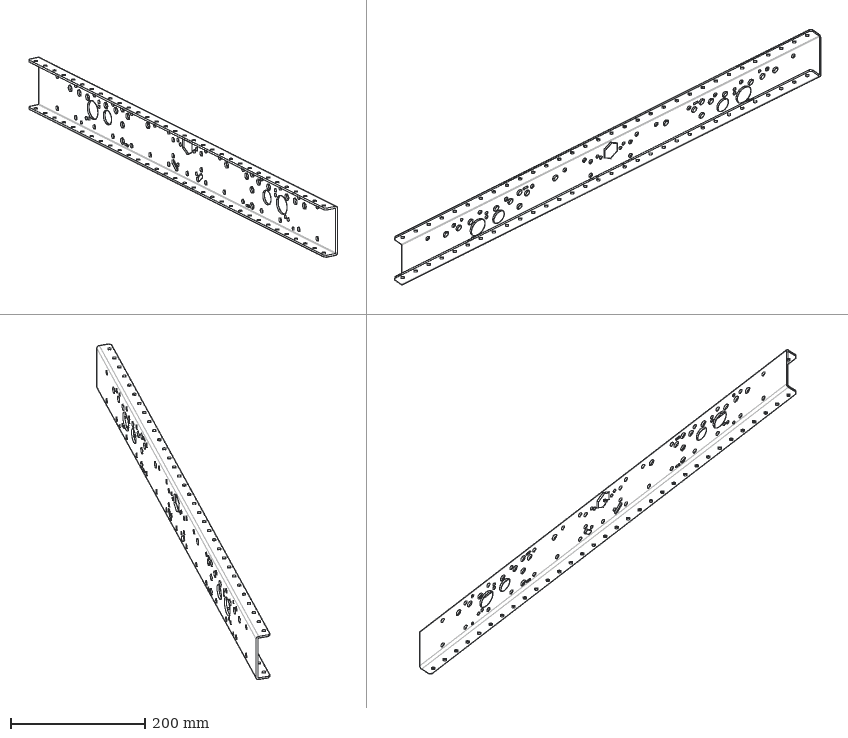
import cadquery as cq
import math

INCH = 25.4

LENGTH = 32 * INCH
DEPTH = 0.875 * INCH
HEIGHT = 3.06 * INCH
THICKNESS = 0.125 * INCH
INNER_BEND_RADIUS = INCH / 32
OUTER_BEND_RADIUS = INNER_BEND_RADIUS + THICKNESS
FLANGE_CORNER_CHAMFER = 0.125 * INCH

HOLE_PITCH = 1.0 * INCH
FLANGE_HOLE_COUNT = 32
FLANGE_HOLE_DIAMETER = 5.16
FLANGE_HOLE_Y = 6.2

AXLE_Z = -0.075 * INCH
LOWER_ROW_Z = AXLE_Z - HOLE_PITCH
UPPER_ROW_Z = AXLE_Z + HOLE_PITCH
TIE_OFFSET = 1.125 * INCH
LOWER_TIE_Z = AXLE_Z - TIE_OFFSET
UPPER_TIE_Z = AXLE_Z + TIE_OFFSET
OUTER_CLEARANCE_Z = 14.3
INNER_CLEARANCE_Z = 15.7

AXLE_DIAMETER = 1.125 * INCH
AXLE_HOLES = [(258.6, AXLE_Z)]

BEARING_DIAMETER = 0.875 * INCH
BEARING_HOLES = [(218.0, AXLE_Z)]

CLEARANCE_DIAMETER = 9.7
CLEARANCE_COLUMN_X = 177.2
CLEARANCE_HOLES = [
    (CLEARANCE_COLUMN_X, LOWER_ROW_Z),
    (CLEARANCE_COLUMN_X, AXLE_Z),
    (CLEARANCE_COLUMN_X, UPPER_ROW_Z),
    (107.6, 17.5),
    (162.5, INNER_CLEARANCE_Z),
    (195.0, INNER_CLEARANCE_Z),
    (222.5, INNER_CLEARANCE_Z),
    (272.5, OUTER_CLEARANCE_Z),
    (295.3, OUTER_CLEARANCE_Z),
    (320.3, OUTER_CLEARANCE_Z),
]

BOLT_DIAMETER = 6.6
LOWER_ROW_STEPS = [0, 2, 4, 6, 8, 10, 12, 14]
UPPER_ROW_STEPS = [2, 3.5, 6, 8, 10, 12, 14]
INNER_BOLT_X = 38.6
BOLT_HOLES = (
    [(step * HOLE_PITCH, LOWER_ROW_Z) for step in LOWER_ROW_STEPS]
    + [(step * HOLE_PITCH, UPPER_ROW_Z) for step in UPPER_ROW_STEPS]
    + [(INNER_BOLT_X, 15.0), (INNER_BOLT_X, -10.3)]
)

PIN_DIAMETER = 5.16
PIN_COLUMN_X = 9.5 * INCH
PIN_HOLES = [
    (19.0, 13.0),
    (25.4, 18.2),
    (25.2, -20.5),
    (PIN_COLUMN_X, 15.9),
    (PIN_COLUMN_X, 8.5),
    (268.3, -18.1),
    (276.1, -20.0),
]

TIE_HOLE_DIAMETER = 4.5
TIE_HOLE_X = 289.7
TIE_HOLES = [(TIE_HOLE_X, UPPER_TIE_Z), (TIE_HOLE_X, LOWER_TIE_Z)]

HEX_ACROSS_FLATS = 26.0
HEX_Z = 17.65

SLANTED_SLOT_WIDTH = 7.3
SLANTED_SLOT_OUTER_END = (38.0, -20.4)
SLANTED_SLOT_INNER_END = (29.5, -27.9)

TIE_SLOT_LENGTH = 9.0
TIE_SLOT_WIDTH = 3.0
TIE_SLOT_X = 165.6


def make_channel():
    outside = (
        cq.Workplane("XY")
        .box(LENGTH, DEPTH, HEIGHT, centered=(True, False, True))
        .edges("|X and >Y")
        .fillet(OUTER_BEND_RADIUS)
    )
    inside = (
        cq.Workplane("XY")
        .box(LENGTH, DEPTH - THICKNESS, HEIGHT - 2 * THICKNESS, centered=(True, False, True))
        .edges("|X and >Y")
        .fillet(INNER_BEND_RADIUS)
    )
    return outside.cut(inside).edges("|Z and <Y").chamfer(FLANGE_CORNER_CHAMFER)


def mirrored(points):
    """Points on the +X half together with their mirror images."""
    return points + [(-x, z) for x, z in points if x != 0]


def back_plane():
    """Sketch plane on the back of the web; extruding by DEPTH runs toward -Y."""
    return cq.Workplane("XZ", origin=(0, DEPTH, 0))


def round_web_holes(points, diameter):
    return back_plane().pushPoints(mirrored(points)).circle(diameter / 2).extrude(DEPTH)


def flange_holes():
    return (
        cq.Workplane("XY", origin=(0, FLANGE_HOLE_Y, -HEIGHT / 2))
        .rarray(HOLE_PITCH, 1, FLANGE_HOLE_COUNT, 1)
        .circle(FLANGE_HOLE_DIAMETER / 2)
        .extrude(HEIGHT)
    )


def hexagon_hole():
    across_corners = HEX_ACROSS_FLATS / math.cos(math.pi / 6)
    return (
        back_plane()
        .center(0, HEX_Z)
        .transformed(rotate=(0, 0, 30))
        .polygon(6, across_corners)
        .extrude(DEPTH)
    )


def slanted_slots():
    outer_x, outer_z = SLANTED_SLOT_OUTER_END
    inner_x, inner_z = SLANTED_SLOT_INNER_END
    run = outer_x - inner_x
    rise = outer_z - inner_z
    length = math.hypot(run, rise) + SLANTED_SLOT_WIDTH
    slot = (
        back_plane()
        .center((outer_x + inner_x) / 2, (outer_z + inner_z) / 2)
        .slot2D(length, SLANTED_SLOT_WIDTH, math.degrees(math.atan2(rise, run)))
        .extrude(DEPTH)
    )
    return slot.union(slot.mirror("YZ"))


def tie_slots():
    centres = [(TIE_SLOT_X, LOWER_TIE_Z), (TIE_SLOT_X, UPPER_TIE_Z)]
    return (
        back_plane()
        .pushPoints(mirrored(centres))
        .slot2D(TIE_SLOT_LENGTH, TIE_SLOT_WIDTH)
        .extrude(DEPTH)
    )


result = (
    make_channel()
    .cut(flange_holes())
    .cut(round_web_holes(AXLE_HOLES, AXLE_DIAMETER))
    .cut(round_web_holes(BEARING_HOLES, BEARING_DIAMETER))
    .cut(round_web_holes(CLEARANCE_HOLES, CLEARANCE_DIAMETER))
    .cut(round_web_holes(BOLT_HOLES, BOLT_DIAMETER))
    .cut(round_web_holes(PIN_HOLES, PIN_DIAMETER))
    .cut(round_web_holes(TIE_HOLES, TIE_HOLE_DIAMETER))
    .cut(hexagon_hole())
    .cut(slanted_slots())
    .cut(tie_slots())
)